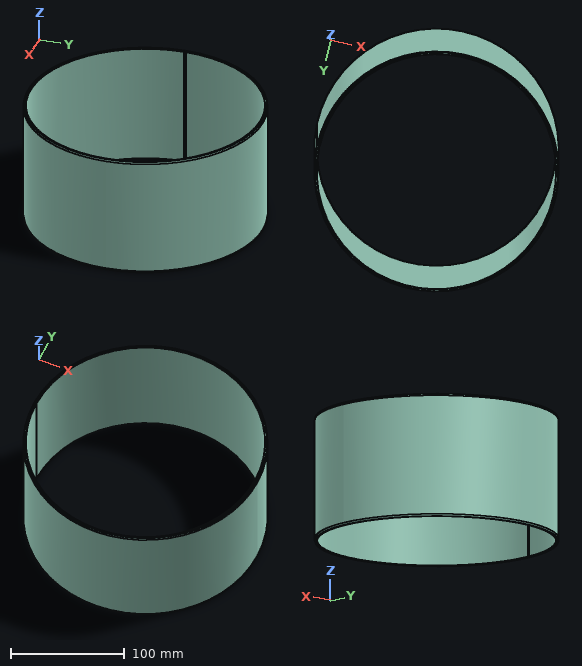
import math

import cadquery as cq

outer_diameter = 215.0
wall_thickness = 2.5
height = 110.0
outer_chamfer_height = 1.8
outer_chamfer_angle = 20.0
inner_chamfer_height = 0.6
inner_chamfer_angle = 30.0
slit_angle = 1.0

outer_radius = outer_diameter / 2
inner_radius = outer_radius - wall_thickness


def slope_run(rise, angle):
    """Sideways distance covered by a slope of the given rise and angle."""
    return rise * math.tan(math.radians(angle))


def make_ring():
    """Thin-walled ring around Z with its outer and bore edges chamfered at both ends."""
    outer_rim_radius = outer_radius - slope_run(outer_chamfer_height, outer_chamfer_angle)
    inner_rim_radius = inner_radius + slope_run(inner_chamfer_height, inner_chamfer_angle)
    wall_section = [
        (inner_rim_radius, 0),
        (outer_rim_radius, 0),
        (outer_radius, outer_chamfer_height),
        (outer_radius, height - outer_chamfer_height),
        (outer_rim_radius, height),
        (inner_rim_radius, height),
        (inner_radius, height - inner_chamfer_height),
        (inner_radius, inner_chamfer_height),
    ]
    return cq.Workplane("XZ").polyline(wall_section).close().revolve(360, (0, 0), (0, 1))


def make_slit():
    """Full-height wedge with its point on the Z axis: one face on the XZ plane, the other at +Y."""
    reach = outer_diameter
    wedge = [
        (0, 0),
        (-reach, 0),
        (-reach, slope_run(reach, slit_angle)),
    ]
    return cq.Workplane("XY").polyline(wedge).close().extrude(height)


result = make_ring().cut(make_slit())